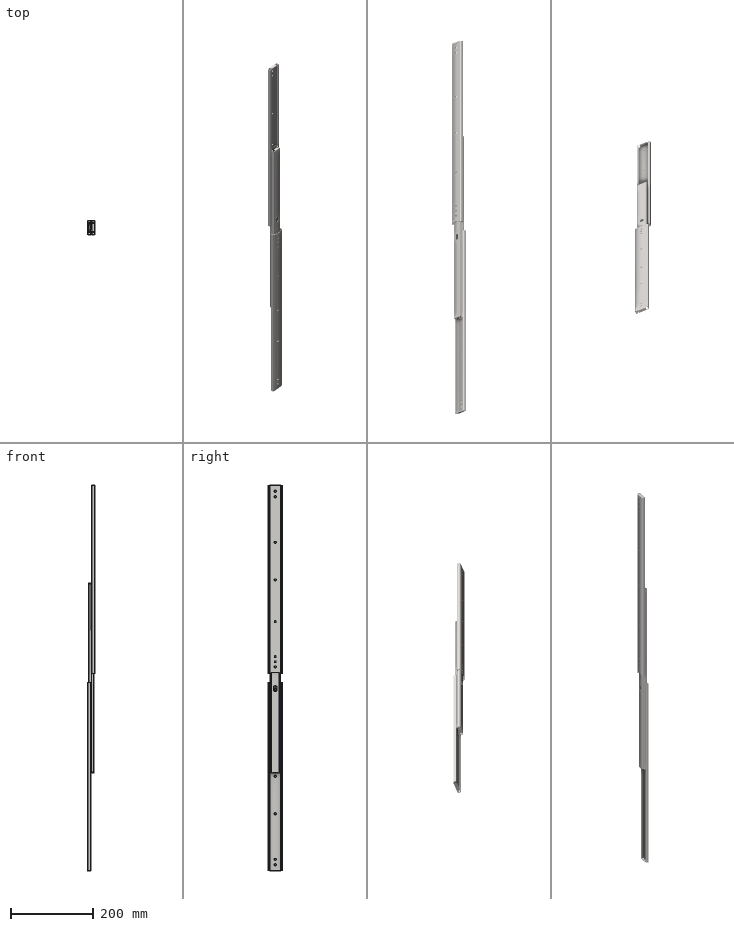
import cadquery as cq

TOTAL_WIDTH = 19.0
TOTAL_DEPTH = 35.08
TOTAL_LENGTH = 936.2
SHEET = 1.2
BEND_RADIUS = 1.8

CHANNEL_LENGTH = 457.5
CHANNEL_BACK = -TOTAL_WIDTH / 2
CHANNEL_OPENING = -1.0
CHANNEL_WEB_WIDTH = 26.0
CHANNEL_STEP = 0.7
CHANNEL_RADIUS = 2.0
CHANNEL_LIP_RADIUS = 1.7
CHANNEL_SIDE_SETBACK = 0.8
CHANNEL_MOUTH = 26.0
CHANNEL_BOTTOM = -TOTAL_LENGTH / 2
CHANNEL_TAB_WIDTH = 20.0
CHANNEL_TAB_TIP = -1.6
RELIEF_WIDTH = 19.0
RELIEF_DEPTH = 2.4
RELIEF_CHAMFER = 2.0
SCREW_HOLE = 4.4
SCREW_OFFSETS = (15, 28, 139, 230, 331, 416, 428.7, 441)

RAIL_LENGTH = 461.4
RAIL_BACK = -7.0
RAIL_OPENING = 0.0
RAIL_DEPTH = 24.6
RAIL_WEB_WIDTH = 20.0
RAIL_STEP = 0.5
RAIL_RADIUS = 0.6
RAIL_LIP_RADIUS = 0.6
RAIL_SIDE_SETBACK = 2.0
RAIL_MOUTH = 18.0
RAIL_TOP = RAIL_LENGTH / 2
RAIL_TAB_WIDTH = 12.0
RAIL_TAB_TIP = -1.0
ACCESS_LENGTH = 14.0
ACCESS_WIDTH = 8.7
ACCESS_HEIGHT = 25.5


def prism(back, opening, depth, web_width, step, radius, lip_radius, bottom, length):
    """Bar along Z whose back has a raised web, sloping at 45 degrees down to the rounded sides."""
    half_depth = depth / 2
    half_web = web_width / 2
    bar = (
        cq.Workplane("XY", origin=(0, 0, bottom))
        .moveTo(back, -half_web)
        .lineTo(back, half_web)
        .lineTo(back + step, half_web + step)
        .lineTo(back + step, half_depth)
        .lineTo(opening, half_depth)
        .lineTo(opening, -half_depth)
        .lineTo(back + step, -half_depth)
        .lineTo(back + step, -half_web - step)
        .close()
        .extrude(length)
    )
    for side in (">Y", "<Y"):
        bar = bar.faces(side).edges("|Z and <X").fillet(radius)
        bar = bar.faces(side).edges("|Z and >X").fillet(lip_radius)
    return bar


def lipped_section(back, opening, depth, web_width, step, radius, lip_radius, mouth, bottom, length):
    """Sheet-metal channel along Z whose sides fold in as lips beside the mouth on the +X face."""
    outside = prism(back, opening, depth, web_width, step, radius, lip_radius, bottom, length)
    cavity = prism(
        back + SHEET, opening - SHEET, depth - 2 * SHEET, web_width - SHEET,
        step, radius / 2, lip_radius / 2, bottom, length,
    )
    mouth_slot = cq.Workplane("XY", origin=(opening - SHEET, 0, bottom)).box(
        SHEET, mouth, length, centered=(False, True, False)
    )
    return outside.cut(cavity).cut(mouth_slot)


def end_tab(back, tip, width, end, inward):
    """Strip bent from the web over the end at height `end`; `inward` is the Z direction into the member."""
    middle = (back + tip) / 2
    return cq.Workplane("XY", origin=(middle, 0, end)).rect(tip - back, width).extrude(inward * SHEET)


def bend_waste(back, width, end, inward):
    """Material outside the rounded bend between the web and its end tab."""
    return (
        cq.Workplane("XZ", origin=(0, width / 2, 0))
        .moveTo(back, end)
        .lineTo(back + BEND_RADIUS, end)
        .radiusArc((back, end + inward * BEND_RADIUS), inward * BEND_RADIUS)
        .close()
        .extrude(width)
    )


def side_waste(back, opening, depth, web_width, end, setback):
    """Ends of both sides and their lips, cut back by `setback`, signed along Z."""
    strip = (depth - web_width) / 2
    return (
        cq.Workplane("XY", origin=((back + opening) / 2, 0, end))
        .pushPoints([(0, (web_width + strip) / 2), (0, -(web_width + strip) / 2)])
        .rect(opening - back, strip)
        .extrude(setback)
    )


def back_plane(back, height):
    """Workplane on the back, facing into the member: local X is Y and local Y is Z."""
    return cq.Workplane(cq.Plane((back, 0, height), xDir=(0, 1, 0), normal=(1, 0, 0)))


def make_channel():
    body = lipped_section(
        CHANNEL_BACK, CHANNEL_OPENING, TOTAL_DEPTH, CHANNEL_WEB_WIDTH,
        CHANNEL_STEP, CHANNEL_RADIUS, CHANNEL_LIP_RADIUS, CHANNEL_MOUTH,
        CHANNEL_BOTTOM, CHANNEL_LENGTH,
    )
    body = body.union(end_tab(CHANNEL_BACK, CHANNEL_TAB_TIP, CHANNEL_TAB_WIDTH, CHANNEL_BOTTOM, 1))
    body = body.cut(bend_waste(CHANNEL_BACK, CHANNEL_WEB_WIDTH, CHANNEL_BOTTOM, 1))
    body = body.cut(
        side_waste(
            CHANNEL_BACK, CHANNEL_OPENING, TOTAL_DEPTH, CHANNEL_WEB_WIDTH,
            CHANNEL_BOTTOM, CHANNEL_SIDE_SETBACK,
        )
    )
    relief = (
        back_plane(CHANNEL_BACK, CHANNEL_BOTTOM + CHANNEL_LENGTH)
        .rect(RELIEF_WIDTH, 2 * RELIEF_DEPTH)
        .extrude(SHEET)
        .edges("|X")
        .chamfer(RELIEF_CHAMFER)
    )
    holes = (
        back_plane(CHANNEL_BACK, CHANNEL_BOTTOM)
        .pushPoints([(0, offset) for offset in SCREW_OFFSETS])
        .circle(SCREW_HOLE / 2)
        .extrude(SHEET)
    )
    return body.cut(relief).cut(holes)


def make_rail():
    body = lipped_section(
        RAIL_BACK, RAIL_OPENING, RAIL_DEPTH, RAIL_WEB_WIDTH,
        RAIL_STEP, RAIL_RADIUS, RAIL_LIP_RADIUS, RAIL_MOUTH,
        -RAIL_TOP, RAIL_LENGTH,
    )
    body = body.union(end_tab(RAIL_BACK, RAIL_TAB_TIP, RAIL_TAB_WIDTH, RAIL_TOP, -1))
    body = body.cut(bend_waste(RAIL_BACK, RAIL_WEB_WIDTH, RAIL_TOP, -1))
    body = body.cut(
        side_waste(
            RAIL_BACK, RAIL_OPENING, RAIL_DEPTH, RAIL_WEB_WIDTH, RAIL_TOP, -RAIL_SIDE_SETBACK
        )
    )
    access = (
        back_plane(RAIL_BACK, 0)
        .pushPoints([(0, ACCESS_HEIGHT), (0, -ACCESS_HEIGHT)])
        .slot2D(ACCESS_LENGTH, ACCESS_WIDTH, 90)
        .extrude(SHEET)
    )
    return body.cut(access)


bodies = []
for turn in (0, 180):
    for member in (make_channel(), make_rail()):
        bodies.append(member.rotate((0, 0, 0), (0, 1, 0), turn).val())

result = cq.Compound.makeCompound(bodies)